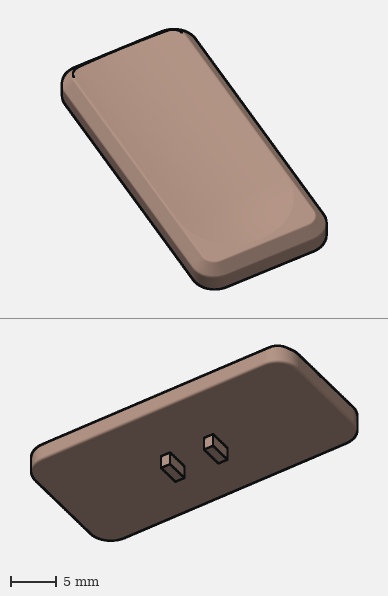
import cadquery as cq

length = 35.1
width = 16.55
plate_height = 3.45
corner_radius = 2.77
top_chamfer = 1.23
bevel_radius = 0.3
bottom_radius = 0.3

scoop_half_width = 6.85
scoop_depth = 0.85
scoop_end_x = 8.78
scoop_radius = (scoop_half_width**2 + scoop_depth**2) / (2 * scoop_depth)

peg_length = 1.2
peg_width = 2.88
peg_height = 1.7
peg_spacing = 5.72


def make_plate():
    """Rounded plate with a softened top bevel and a rounded bottom edge."""
    plate = (
        cq.Workplane("XY")
        .box(length, width, plate_height, centered=(True, True, False))
        .edges("|Z")
        .fillet(corner_radius)
        .faces(">Z")
        .chamfer(top_chamfer)
    )
    shoulder_height = plate_height - top_chamfer
    edge_band = bevel_radius / 2
    shoulder_edges = cq.selectors.BoxSelector(
        (-length, -width, shoulder_height - edge_band),
        (length, width, shoulder_height + edge_band),
    )
    plate = plate.edges(shoulder_edges).fillet(bevel_radius)
    plate = plate.faces(">Z").edges().fillet(bevel_radius)
    return plate.faces("<Z").edges().fillet(bottom_radius)


def make_scoop():
    """Cutter: a cylinder open through the left end, closed by a sphere on the right."""
    axis_height = plate_height - scoop_depth + scoop_radius
    trough = (
        cq.Workplane("YZ", origin=(scoop_end_x, 0, axis_height))
        .circle(scoop_radius)
        .extrude(-length)
    )
    end = cq.Workplane("XY", origin=(scoop_end_x, 0, axis_height)).sphere(scoop_radius)
    return trough.union(end)


def make_pegs():
    """Two rectangular pegs hanging from the bottom face."""
    return (
        cq.Workplane("XY")
        .rarray(peg_spacing, 0.35, 2, 1)
        .rect(peg_length, peg_width)
        .extrude(-peg_height)
    )


result = make_plate().cut(make_scoop()).union(make_pegs())